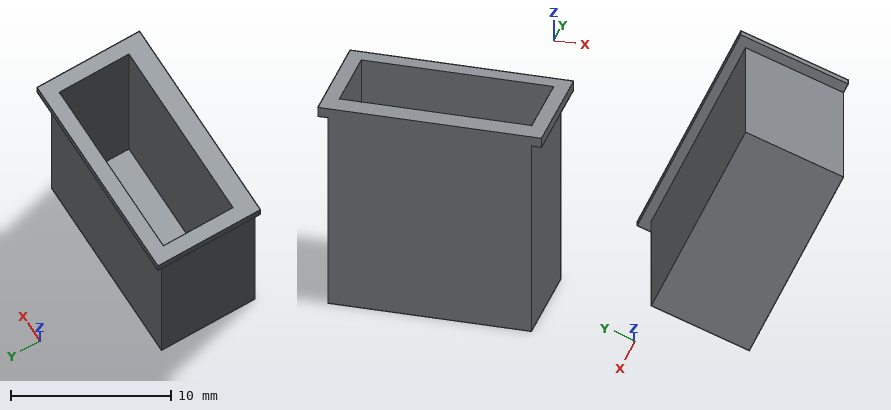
import cadquery as cq

flange_length = 14.48
overhang = 0.65
flange_thickness = 0.65

total_depth = 7.49
total_height = 13.97
body_length = flange_length - 2 * overhang
body_depth = total_depth - overhang

side_wall = 0.36
front_wall = 1.39
cavity_length = body_length - 2 * side_wall
cavity_depth = body_depth - front_wall - side_wall
floor_thickness = side_wall


def block(length, depth, height, front, bottom):
    """Box centred on X, starting at the given front (Y) and bottom (Z)."""
    return (
        cq.Workplane("XY")
        .box(length, depth, height, centered=(True, False, False))
        .translate((0, front, bottom))
    )


body = block(body_length, body_depth, total_height, 0, 0)
flange = block(
    flange_length, total_depth, flange_thickness, 0, total_height - flange_thickness
)
cavity = block(
    cavity_length, cavity_depth, total_height - floor_thickness, front_wall, floor_thickness
)

result = body.union(flange).cut(cavity)